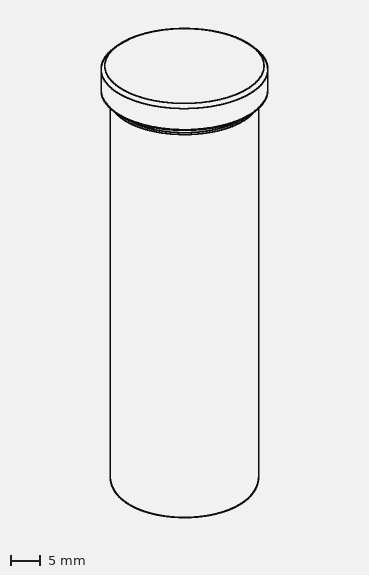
import cadquery as cq

total_height = 80.0
head_diameter = 28.0
head_height = 5.0
head_top_chamfer = 0.6
head_bottom_chamfer = 0.3

shank_diameter = 25.0
groove_diameter = 24.5
groove_width = 1.2
shank_top_chamfer = (shank_diameter - groove_diameter) / 2
tip_radius = 2.0

bottom_z = -total_height / 2
head_bottom_z = bottom_z + total_height - head_height
shank_top_z = head_bottom_z - groove_width


def cylinder(diameter, height, base_z):
    return cq.Workplane("XY", origin=(0, 0, base_z)).circle(diameter / 2).extrude(height)


shank = cylinder(shank_diameter, shank_top_z - bottom_z, bottom_z)
shank = shank.faces("<Z").edges().fillet(tip_radius)
shank = shank.faces(">Z").edges().chamfer(shank_top_chamfer)

neck = cylinder(groove_diameter, groove_width, shank_top_z)

head = cylinder(head_diameter, head_height, head_bottom_z)
head = head.faces(">Z").edges().chamfer(head_top_chamfer)
head = head.faces("<Z").edges().chamfer(head_bottom_chamfer)

result = shank.union(neck).union(head)